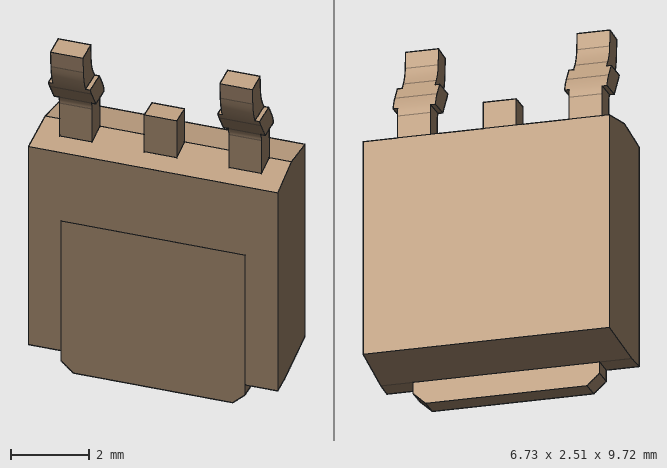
import cadquery as cq
import math


housing_depth = 2.38
housing_front_width = 6.73
side_draft = 2.0
housing_back_width = housing_front_width - 2 * housing_depth * math.tan(math.radians(side_draft))
housing_bottom = 0.61
housing_front_top = 6.61
housing_ridge_top = 6.825
housing_back_top = 6.63
housing_back_bottom = 0.81
ridge_y = housing_depth / 2

tab_width = 4.97
tab_height = 4.54
tab_thickness = 0.61
tab_corner_x = 0.335
tab_corner_z = 0.305

lead_pitch = 2.285
lead_width = 0.88
lead_thickness = 0.61
lead_back_y = ridge_y
lead_front_y = lead_back_y - lead_thickness
lead_seat = housing_front_top
stub_top = 7.83

bend_start = 7.71
bend_angle = 34.0
tip_angle = 4.0
lower_bend_radius = 0.40
upper_bend_radius = 1.00
tip_top = 9.72
front_overhang = 0.13

shoulder_width = 1.13
shoulder_bottom = 7.93
shoulder_top = 8.62
shoulder_zone_depth = 2 * housing_depth


def make_tab():
    """Flat tab with its two bottom corners cut off."""
    half = tab_width / 2
    outline = [
        (-half, tab_height),
        (-half, tab_corner_z),
        (-half + tab_corner_x, 0),
        (half - tab_corner_x, 0),
        (half, tab_corner_z),
        (half, tab_height),
    ]
    return cq.Workplane("XZ").polyline(outline).close().extrude(-tab_thickness)


def extrude_across(profile, center_x, width):
    """Extrude a closed YZ profile along X, centred on center_x."""
    return profile.extrude(width / 2, both=True).translate((center_x, 0, 0))


def make_stub():
    """Straight, cut-off middle lead."""
    return cq.Workplane("XY").box(
        lead_width, lead_thickness, stub_top - lead_seat, centered=(True, False, False)
    ).translate((0, lead_front_y, lead_seat))


def polar(center, radius, angle):
    """YZ point at a radius from center; angle 0 points to +Y and 90 to +Z."""
    turn = math.radians(angle)
    return (center[0] + radius * math.cos(turn), center[1] + radius * math.sin(turn))


def lead_profile():
    """Closed YZ outline of a bent lead: straight, lower bend, slope, upper bend, tip."""
    lower_outer_radius = lower_bend_radius + lead_thickness
    upper_outer_radius = upper_bend_radius + lead_thickness
    bend = math.radians(bend_angle)
    tip = math.radians(tip_angle)
    middle_angle = (bend_angle + tip_angle) / 2

    lower_center = (lead_front_y - lower_bend_radius, bend_start)
    front_slope_start = polar(lower_center, lower_bend_radius, bend_angle)
    back_slope_start = polar(lower_center, lower_outer_radius, bend_angle)

    front_tip = (-front_overhang, tip_top - lead_thickness * math.sin(tip))
    back_tip = (front_tip[0] + lead_thickness * math.cos(tip), tip_top)

    step_y = front_slope_start[0] - front_tip[0]
    step_z = front_tip[1] - front_slope_start[1]
    rest_y = step_y - upper_outer_radius * (math.cos(tip) - math.cos(bend))
    rest_z = step_z - upper_outer_radius * (math.sin(bend) - math.sin(tip))
    slope_length = (rest_y * math.cos(tip) - rest_z * math.sin(tip)) / math.sin(bend - tip)

    slope_y = -slope_length * math.sin(bend)
    slope_z = slope_length * math.cos(bend)
    front_slope_end = (front_slope_start[0] + slope_y, front_slope_start[1] + slope_z)
    back_slope_end = (back_slope_start[0] + slope_y, back_slope_start[1] + slope_z)
    upper_center = polar(front_slope_end, upper_outer_radius, bend_angle)

    return (
        cq.Workplane("YZ")
        .moveTo(lead_front_y, lead_seat)
        .lineTo(lead_front_y, bend_start)
        .threePointArc(polar(lower_center, lower_bend_radius, bend_angle / 2), front_slope_start)
        .lineTo(*front_slope_end)
        .threePointArc(
            polar(upper_center, upper_outer_radius, 180 + middle_angle),
            polar(upper_center, upper_outer_radius, 180 + tip_angle),
        )
        .lineTo(*front_tip)
        .lineTo(*back_tip)
        .lineTo(*polar(upper_center, upper_bend_radius, 180 + tip_angle))
        .threePointArc(polar(upper_center, upper_bend_radius, 180 + middle_angle), back_slope_end)
        .lineTo(*back_slope_start)
        .threePointArc(
            polar(lower_center, lower_outer_radius, bend_angle / 2),
            (lead_back_y, bend_start),
        )
        .lineTo(lead_back_y, lead_seat)
        .close()
    )


def make_bent_lead(center_x):
    """Bent outer lead, wider between the shoulder heights."""
    blade = extrude_across(lead_profile(), center_x, lead_width)
    shoulder_zone = cq.Workplane("XY").box(
        shoulder_width, shoulder_zone_depth, shoulder_top - shoulder_bottom, centered=(True, True, False)
    ).translate((center_x, 0, shoulder_bottom))
    shoulder = extrude_across(lead_profile(), center_x, shoulder_width).intersect(shoulder_zone)
    return blade.union(shoulder)


def make_housing(inserts):
    """Gabled block with drafted sides and a matching recess for each inserted body."""
    side_outline = [
        (0, housing_bottom),
        (0, housing_front_top),
        (ridge_y, housing_ridge_top),
        (housing_depth, housing_back_top),
        (housing_depth, housing_back_bottom),
        (tab_thickness, housing_bottom),
    ]
    plan_outline = [
        (-housing_front_width / 2, 0),
        (housing_front_width / 2, 0),
        (housing_back_width / 2, housing_depth),
        (-housing_back_width / 2, housing_depth),
    ]
    gable = extrude_across(cq.Workplane("YZ").polyline(side_outline).close(), 0, housing_front_width)
    drafted = cq.Workplane("XY").polyline(plan_outline).close().extrude(housing_ridge_top)
    block = gable.intersect(drafted)
    for insert in inserts:
        block = block.cut(insert)
    return block


tab = make_tab()
stub = make_stub()
bent_leads = [make_bent_lead(side * lead_pitch) for side in (-1, 1)]
housing = make_housing([tab, stub, *bent_leads])

result = cq.Compound.makeCompound(
    [housing.val(), tab.val(), stub.val(), *[lead.val() for lead in bent_leads]]
)